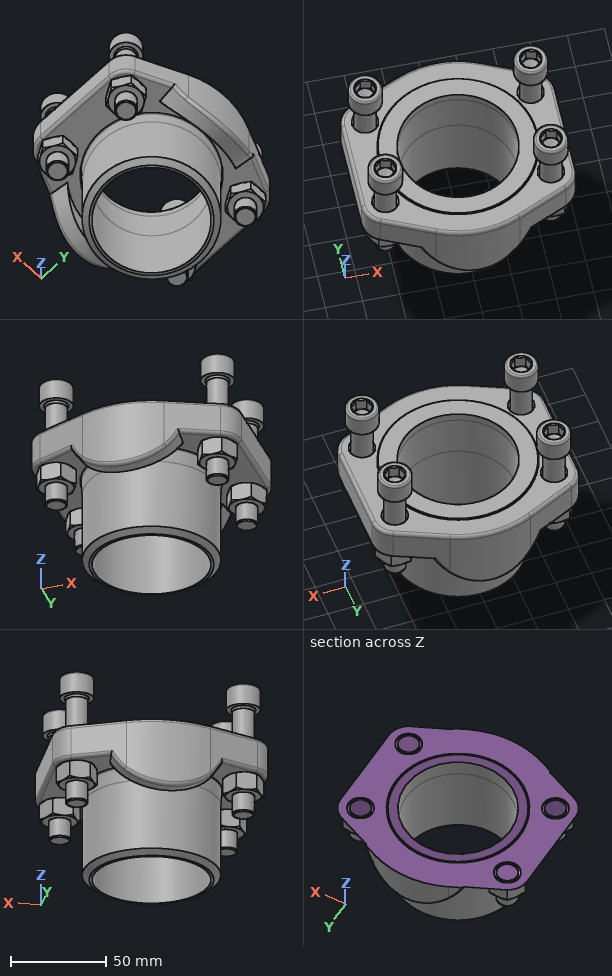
import cadquery as cq
import math


bolt_x = 44.5
bolt_y = 25.4

flange_half_width = 57.5
flange_arc_radius = 54.5
corner_radius = flange_half_width - bolt_x
plate_thickness = 19.0
flange_top = 69.3
plate_bottom = flange_top - plate_thickness
edge_round = 2.0
bolt_hole_diameter = 14.0
recess_diameter = 85.0
neck_hole_diameter = 75.0

skirt_radius = 34.3
skirt_axis_z = 65.7
skirt_taper = 6.0
skirt_inner_radius = 44.4
outline_clearance = 1.2
shortest_rounded_span = 1.2
edge_tolerance = 0.1

neck_height = 70.0
shoulder_diameter = 84.1
shoulder_thickness = 9.7
shoulder_bottom = neck_height - shoulder_thickness
collar_diameter = 74.0
collar_bottom = 49.9
pipe_diameter = 73.0
pipe_top = 42.0
upper_bore_diameter = 64.0
upper_bore_depth = 4.6
lower_bore_diameter = 62.6
weld_face_diameter = 65.5
weld_bevel_height = 2.5

bolt_length = 60.0
shank_diameter = 11.7
tip_diameter = 10.4
tip_height = 0.7
head_diameter = 18.0
head_height = 12.0
head_round = 1.2
underhead_diameter = 13.0
underhead_height = 1.4
bolt_top = 101.5
head_bottom = bolt_top - head_height
socket_flats = 10.0
socket_mouth_diameter = 11.7
socket_depth = 7.5
socket_cone_diameter = 10.0
socket_cone_depth = 2.5
socket_angle = 45.0

nut_flats = 19.0
nut_height = 10.0
nut_chamfer_angle = 30.0

hex_corner_ratio = 1 / math.cos(math.pi / 6)

bolt_places = [(sx * bolt_x, sy * bolt_y) for sx in (-1, 1) for sy in (-1, 1)]


def flange_outline(bottom, height):
    """Straight sides, corners concentric with the bolts and a big arc at each Y end, all tangent."""
    span = math.hypot(bolt_x, bolt_y)
    normal = math.atan2(bolt_y, bolt_x) + math.acos((flange_arc_radius - corner_radius) / span)
    middle = normal / 2

    def corner(angle, sx, sy):
        x = bolt_x + corner_radius * math.cos(angle)
        y = bolt_y + corner_radius * math.sin(angle)
        return (sx * x, sy * y)

    def arc_end(sx, sy):
        return (sx * flange_arc_radius * math.cos(normal), sy * flange_arc_radius * math.sin(normal))

    return (
        cq.Workplane("XY", origin=(0, 0, bottom))
        .moveTo(*corner(0, 1, -1))
        .lineTo(*corner(0, 1, 1))
        .threePointArc(corner(middle, 1, 1), corner(normal, 1, 1))
        .lineTo(*arc_end(1, 1))
        .threePointArc((0, flange_arc_radius), arc_end(-1, 1))
        .lineTo(*corner(normal, -1, 1))
        .threePointArc(corner(middle, -1, 1), corner(0, -1, 1))
        .lineTo(*corner(0, -1, -1))
        .threePointArc(corner(middle, -1, -1), corner(normal, -1, -1))
        .lineTo(*arc_end(-1, -1))
        .threePointArc((0, -flange_arc_radius), arc_end(1, -1))
        .lineTo(*corner(normal, 1, -1))
        .threePointArc(corner(middle, 1, -1), corner(0, 1, -1))
        .close()
        .extrude(height)
    )


def make_skirt():
    """One skirt at +Y: the flange outline cut to a cone about Y, with its outer lower edge rounded."""
    inner_radius = skirt_radius - flange_arc_radius * math.tan(math.radians(skirt_taper))
    cone = (
        cq.Workplane("XY")
        .polyline([(0, 0), (inner_radius, 0), (skirt_radius, flange_arc_radius), (0, flange_arc_radius)])
        .close()
        .revolve(360, (0, 0, 0), (0, 1, 0))
        .translate((0, 0, skirt_axis_z))
    )
    outline_bottom = skirt_axis_z - skirt_radius - outline_clearance
    outline_top = plate_bottom + plate_thickness / 2
    body = flange_outline(outline_bottom, outline_top - outline_bottom).intersect(cone)
    outer_edges = [
        edge for edge in body.edges().vals()
        if edge.Center().y > skirt_inner_radius
        and edge.Center().z < outline_top - edge_tolerance
        and edge.BoundingBox().xlen > shortest_rounded_span
    ]
    return body.newObject(outer_edges).fillet(edge_round)


def make_flange():
    """Rounded plate with two skirts, a recess for the neck's shoulder and holes for neck and bolts."""
    plate = flange_outline(plate_bottom, plate_thickness).faces("<Z or >Z").edges().fillet(edge_round)
    hollow = cq.Workplane("XY").circle(skirt_inner_radius).extrude(plate_bottom)
    skirt = make_skirt().cut(hollow)
    body = plate.union(skirt).union(skirt.mirror("XZ"))
    recess = (
        cq.Workplane("XY", origin=(0, 0, shoulder_bottom))
        .circle(recess_diameter / 2)
        .extrude(plate_thickness)
    )
    neck_hole = cq.Workplane("XY").circle(neck_hole_diameter / 2).extrude(flange_top)
    bolt_holes = (
        cq.Workplane("XY")
        .pushPoints(bolt_places)
        .circle(bolt_hole_diameter / 2)
        .extrude(flange_top)
    )
    return body.cut(recess).cut(neck_hole).cut(bolt_holes)


def make_neck():
    """Shouldered pipe end with a weld bevel, tapering inside and out below the collar."""
    return (
        cq.Workplane("XZ")
        .moveTo(weld_face_diameter / 2, 0)
        .lineTo(pipe_diameter / 2, weld_bevel_height)
        .lineTo(pipe_diameter / 2, pipe_top)
        .lineTo(collar_diameter / 2, collar_bottom)
        .lineTo(collar_diameter / 2, shoulder_bottom)
        .lineTo(shoulder_diameter / 2, shoulder_bottom)
        .lineTo(shoulder_diameter / 2, neck_height)
        .lineTo(upper_bore_diameter / 2, neck_height)
        .lineTo(upper_bore_diameter / 2, neck_height - upper_bore_depth)
        .lineTo(lower_bore_diameter / 2, pipe_top)
        .lineTo(lower_bore_diameter / 2, 0)
        .close()
        .revolve()
    )


def make_bolt():
    """Socket head bolt on the Z axis, with a cone at the bottom of its hex socket."""
    tip_z = head_bottom - bolt_length
    body = (
        cq.Workplane("XZ")
        .moveTo(0, tip_z)
        .lineTo(tip_diameter / 2, tip_z)
        .lineTo(shank_diameter / 2, tip_z + tip_height)
        .lineTo(shank_diameter / 2, head_bottom - underhead_height)
        .lineTo(underhead_diameter / 2, head_bottom)
        .lineTo(head_diameter / 2, head_bottom)
        .lineTo(head_diameter / 2, bolt_top)
        .lineTo(0, bolt_top)
        .close()
        .revolve()
        .faces(">Z").edges().fillet(head_round)
    )
    socket_bottom = bolt_top - socket_depth
    socket = (
        cq.Workplane("XY", origin=(0, 0, socket_bottom))
        .polygon(6, socket_flats * hex_corner_ratio)
        .extrude(socket_depth)
        .rotate((0, 0, 0), (0, 0, 1), socket_angle)
    )
    mouth_depth = (socket_mouth_diameter - socket_flats) / 2
    mouth = cq.Solid.makeCone(socket_flats / 2, socket_mouth_diameter / 2, mouth_depth)
    cone = cq.Solid.makeCone(0, socket_cone_diameter / 2, socket_cone_depth)
    return (
        body.cut(socket)
        .cut(cq.Workplane(mouth.translate((0, 0, bolt_top - mouth_depth))))
        .cut(cq.Workplane(cone.translate((0, 0, socket_bottom - socket_cone_depth))))
    )


def make_nut():
    """Hex nut on the Z axis against the plate's underside, its corners chamfered at both ends."""
    nut_bottom = plate_bottom - nut_height
    face_radius = nut_flats / 2
    corner = face_radius * hex_corner_ratio
    drop = (corner - face_radius) * math.tan(math.radians(nut_chamfer_angle))
    prism = (
        cq.Workplane("XY", origin=(0, 0, nut_bottom))
        .polygon(6, nut_flats * hex_corner_ratio)
        .extrude(nut_height)
    )
    envelope = (
        cq.Workplane("XZ")
        .moveTo(shank_diameter / 2, nut_bottom)
        .lineTo(face_radius, nut_bottom)
        .lineTo(corner, nut_bottom + drop)
        .lineTo(corner, plate_bottom - drop)
        .lineTo(face_radius, plate_bottom)
        .lineTo(shank_diameter / 2, plate_bottom)
        .close()
        .revolve()
    )
    return prism.intersect(envelope)


flange = make_flange()
neck = make_neck()
bolts = [make_bolt().val().translate((x, y, 0)) for x, y in bolt_places]
nuts = [make_nut().val().translate((x, y, 0)) for x, y in bolt_places]

result = cq.Compound.makeCompound([flange.val(), neck.val(), *bolts, *nuts])